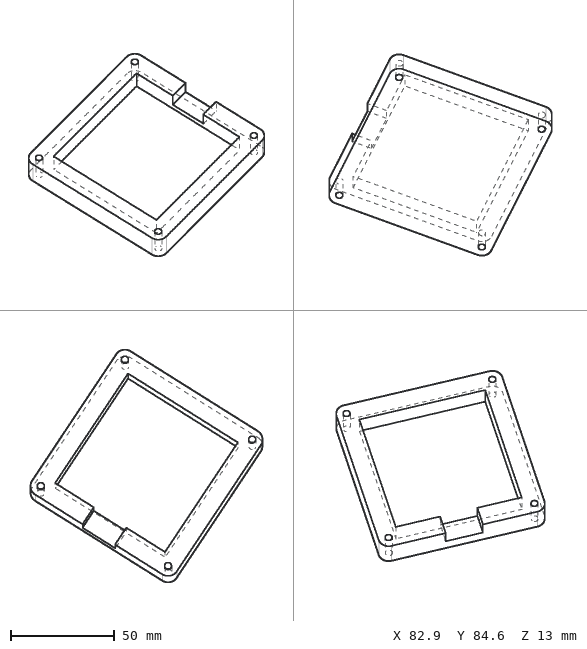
import cadquery as cq

length_x = 82.9
length_y = 84.6
height = 13.0
corner_radius = 5.0

wall = 10.0
floor_thickness = 3.0

notch_width = 18.6
notch_center_x = 0.0
notch_depth = 7.0

hole_diameter = 3.4
hole_inset = corner_radius


def make_block():
    """Solid block standing on Z = 0, with rounded vertical edges."""
    block = cq.Workplane("XY").box(length_x, length_y, height, centered=(True, True, False))
    return block.edges("|Z").fillet(corner_radius)


def make_pocket():
    """Rectangular cavity leaving an even wall and a floor."""
    return (
        cq.Workplane("XY", origin=(0, 0, floor_thickness))
        .rect(length_x - 2 * wall, length_y - 2 * wall)
        .extrude(height - floor_thickness)
    )


def make_notch():
    """Cut across the +Y wall, from the pocket to the outside."""
    center_y = (length_y - wall) / 2
    return (
        cq.Workplane("XY", origin=(notch_center_x, center_y, height - notch_depth))
        .rect(notch_width, wall)
        .extrude(notch_depth)
    )


def make_screw_holes():
    """One through hole in each corner."""
    return (
        cq.Workplane("XY")
        .rect(length_x - 2 * hole_inset, length_y - 2 * hole_inset, forConstruction=True)
        .vertices()
        .circle(hole_diameter / 2)
        .extrude(height)
    )


result = make_block().cut(make_pocket()).cut(make_notch()).cut(make_screw_holes())